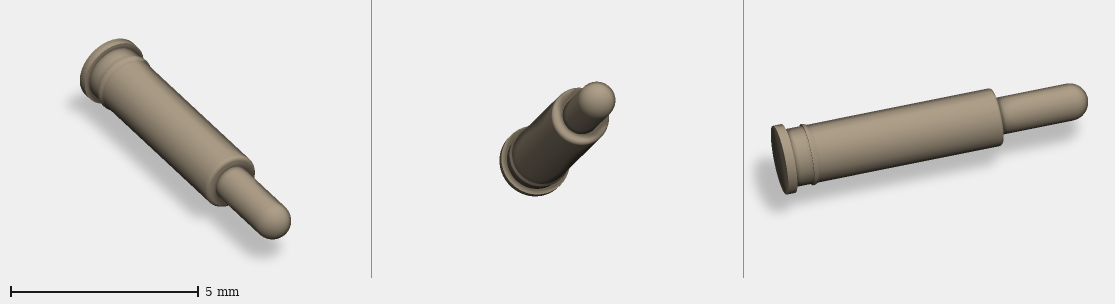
import cadquery as cq

total_length = 8.5
flange_diameter = 1.88
flange_thickness = 0.25
barrel_diameter = 1.57
barrel_end = 6.0
barrel_fillet = 0.1
plunger_diameter = 1.0

barb_diameter = 1.67
barb_start = 0.75
barb_land = 0.05
barb_taper = 0.1


def disc(start, end, diameter):
    """Solid cylinder along X between two axial positions."""
    return cq.Workplane("YZ", origin=(start, 0, 0)).circle(diameter / 2).extrude(end - start)


def make_barb():
    """Barb with a square shoulder facing the flange and a tapered lead-in."""
    land_end = barb_start + barb_land
    taper_end = land_end + barb_taper
    return (
        cq.Workplane("XY")
        .moveTo(barb_start, 0)
        .lineTo(barb_start, barb_diameter / 2)
        .lineTo(land_end, barb_diameter / 2)
        .lineTo(taper_end, barrel_diameter / 2)
        .lineTo(taper_end, 0)
        .close()
        .revolve(360, (0, 0, 0), (1, 0, 0))
    )


def make_plunger():
    """Plunger with a hemispherical contact tip."""
    radius = plunger_diameter / 2
    dome_start = total_length - radius
    rod = disc(barrel_end, dome_start, plunger_diameter)
    dome = (
        cq.Workplane("XY")
        .moveTo(dome_start, 0)
        .lineTo(dome_start, radius)
        .radiusArc((total_length, 0), radius)
        .close()
        .revolve(360, (0, 0, 0), (1, 0, 0))
    )
    return rod.union(dome)


flange = disc(0, flange_thickness, flange_diameter)
barrel = disc(flange_thickness, barrel_end, barrel_diameter).faces(">X").edges().fillet(barrel_fillet)

result = flange.union(barrel).union(make_barb()).union(make_plunger())